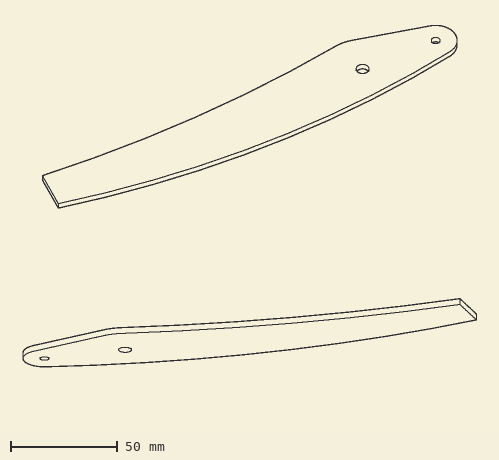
import cadquery as cq
import math

thickness = 3.0
length = 215.0
pivot_hole_diameter = 6.0
pivot_radius = 19.8
tip_hole_diameter = 4.0
tip_radius = 10.0
tip_x, tip_y = -5.0, 39.0

tail_y = tip_y + tip_radius - length
tail_right_x = 30.5
tail_width = 2 * tip_radius

outer_mid = (25.4, -38.5)
inner_mid = (1.0, -86.5)

outer_start_angle = 21.0
inner_end_angle = 197.0

center_distance = math.hypot(tip_x, tip_y)
center_angle = math.degrees(math.atan2(tip_y, tip_x))
tangent_angle = center_angle + math.degrees(math.acos((pivot_radius - tip_radius) / center_distance))


def on_circle(center, radius, angle):
    """Point on a circle at an angle in degrees from +X."""
    a = math.radians(angle)
    return (center[0] + radius * math.cos(a), center[1] + radius * math.sin(a))


def round_points(center, radius, start_angle, end_angle):
    """Start, middle and end points of a rounded end."""
    middle_angle = (start_angle + end_angle) / 2
    return [on_circle(center, radius, a) for a in (start_angle, middle_angle, end_angle)]


pivot = (0, 0)
tip = (tip_x, tip_y)
tip_start, tip_mid, tip_end = round_points(tip, tip_radius, outer_start_angle, tangent_angle)
pivot_start, pivot_mid, pivot_end = round_points(pivot, pivot_radius, tangent_angle, inner_end_angle)

plate = (
    cq.Workplane("XY")
    .moveTo(tail_right_x, tail_y)
    .threePointArc(outer_mid, tip_start)
    .threePointArc(tip_mid, tip_end)
    .lineTo(*pivot_start)
    .threePointArc(pivot_mid, pivot_end)
    .threePointArc(inner_mid, (tail_right_x - tail_width, tail_y))
    .close()
    .extrude(thickness)
)


def hole_cutter(center, diameter):
    """Cylinder through the full plate thickness."""
    return cq.Workplane("XY").center(*center).circle(diameter / 2).extrude(thickness)


result = plate.cut(hole_cutter(pivot, pivot_hole_diameter)).cut(hole_cutter(tip, tip_hole_diameter))